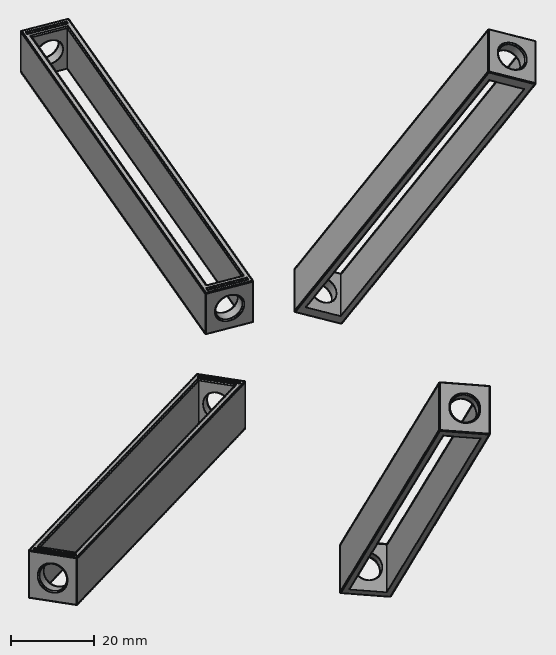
import cadquery as cq

length = 112.5
side = 12.5
edge_bevel = 0.2
mouth_bevel = 0.3

end_wall = 3.2
side_wall = 1.7
window_length = length - 2 * end_wall
window_width = side - 2 * side_wall

hole_diameter = 7.0

groove_length = 10.6
groove_width = 0.8
groove_depth = 0.1
groove_inset = 1.5


def make_bar():
    """Square bar with every outer edge bevelled, centred on the origin."""
    return cq.Workplane("XY").box(length, side, side).edges().chamfer(edge_bevel)


def make_window():
    """Rectangular window whose top mouth flares out at 45 degrees."""
    window = cq.Workplane("XY").box(window_length, window_width, side)
    flare = (
        cq.Workplane("XY", origin=(0, 0, side / 2))
        .rect(window_length + 2 * mouth_bevel, window_width + 2 * mouth_bevel)
        .workplane(offset=-mouth_bevel)
        .rect(window_length, window_width)
        .loft(ruled=True)
    )
    return window.union(flare)


def make_end_hole():
    """Hole along X whose two outer mouths are countersunk at 45 degrees."""
    hole = cq.Workplane("YZ").circle(hole_diameter / 2).extrude(length / 2, both=True)
    for outward in (-1, 1):
        countersink = cq.Solid.makeCone(
            hole_diameter / 2 + mouth_bevel,
            hole_diameter / 2,
            mouth_bevel,
            pnt=cq.Vector(outward * length / 2, 0, 0),
            dir=cq.Vector(-outward, 0, 0),
        )
        hole = hole.union(cq.Workplane(countersink))
    return hole


def make_grooves():
    """One groove across the top of each end wall."""
    groove_x = length / 2 - groove_inset
    return (
        cq.Workplane("XY", origin=(0, 0, side / 2))
        .pushPoints([(-groove_x, 0), (groove_x, 0)])
        .rect(groove_width, groove_length)
        .extrude(-groove_depth)
    )


result = make_bar().cut(make_window()).cut(make_end_hole()).cut(make_grooves())